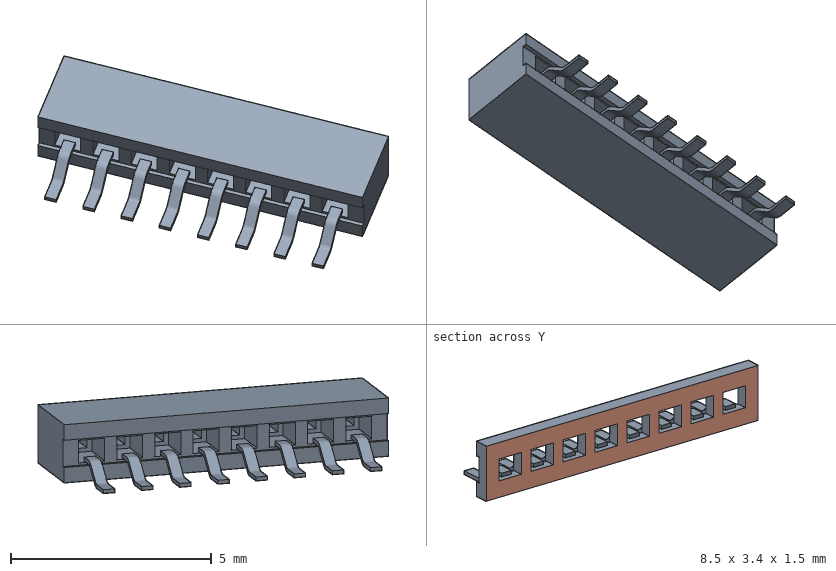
import cadquery as cq
import math

contact_count = 8
pitch = 1.0
contact_x = [(i - (contact_count - 1) / 2) * pitch for i in range(contact_count)]

housing_length = 8.5
housing_depth = 2.1
housing_height = 1.5
mid_height = housing_height / 2

groove_height = 0.7
groove_depth = 0.1

pocket_width = 0.68
pocket_height = 0.58
pocket_depth = 1.0
pocket_floor = mid_height - pocket_height / 2
hole_size = 0.38
hole_shift = 0.02

lead_width = 0.3
lead_thickness = 0.1
lead_insertion = 0.15
lead_reach = 1.3
bend_start = 0.1
bend_angle = math.radians(42.3)
bend_radius = 0.25


def make_housing():
    body = cq.Workplane("XY").box(
        housing_length, housing_depth, housing_height, centered=(True, False, False)
    )
    groove = (
        cq.Workplane("XY")
        .box(housing_length, groove_depth, groove_height, centered=(True, False, True))
        .translate((0, 0, mid_height))
    )
    body = body.cut(groove)
    for x in contact_x:
        pocket = (
            cq.Workplane("XY")
            .box(pocket_width, pocket_depth, pocket_height, centered=(True, False, True))
            .translate((x, groove_depth, mid_height))
        )
        through_hole = (
            cq.Workplane("XY")
            .box(hole_size, housing_depth, hole_size, centered=(True, False, True))
            .translate((x + hole_shift, 0, mid_height))
        )
        body = body.cut(pocket).cut(through_hole)
    return body


def make_lead(x):
    """Sweep the flat strip along its mid-thickness line: straight, down-bend, slope, up-bend, foot."""
    top_z = pocket_floor + lead_thickness / 2
    foot_z = lead_thickness / 2
    inner_end_y = groove_depth + lead_insertion

    bend_run = bend_radius * math.sin(bend_angle)
    bend_drop = bend_radius * (1 - math.cos(bend_angle))
    slope_drop = top_z - foot_z - 2 * bend_drop
    slope_run = slope_drop / math.tan(bend_angle)

    slope_start_y = -bend_start - bend_run
    slope_end_y = slope_start_y - slope_run
    path = (
        cq.Workplane("YZ", origin=(x, 0, 0))
        .moveTo(inner_end_y, top_z)
        .lineTo(-bend_start, top_z)
        .tangentArcPoint((slope_start_y, top_z - bend_drop), relative=False)
        .lineTo(slope_end_y, foot_z + bend_drop)
        .tangentArcPoint((slope_end_y - bend_run, foot_z), relative=False)
        .lineTo(-lead_reach, foot_z)
    )
    section = cq.Workplane("XZ", origin=(x, inner_end_y, top_z)).rect(lead_width, lead_thickness)
    return section.sweep(path)


housing = make_housing()
leads = [make_lead(x) for x in contact_x]

result = cq.Compound.makeCompound([housing.val(), *[lead.val() for lead in leads]])